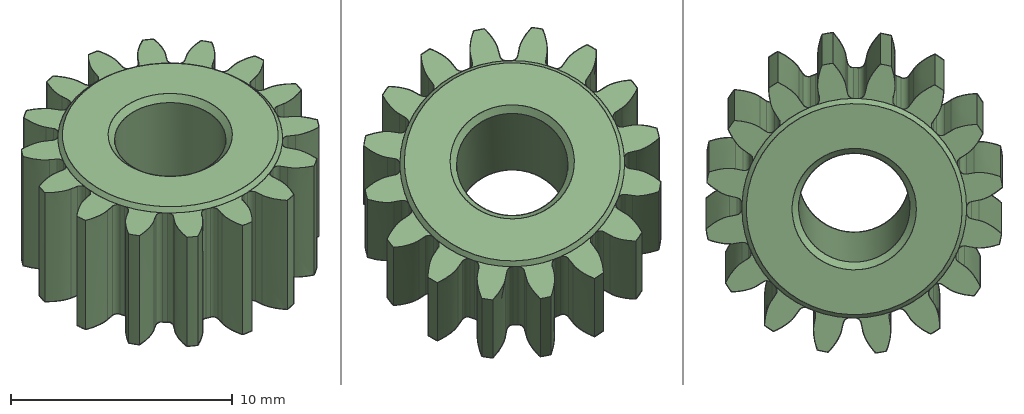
import cadquery as cq
import math

TEETH = 16
OVERALL_WIDTH = 13.33
FACE_WIDTH = 6.6
HUB_STEP = 0.2
BORE_RADIUS = 2.5
BORE_CHAMFER = 0.29
PRESSURE_ANGLE = math.radians(20)
ROOT_LAND_HALF_ANGLE = math.radians(1.25)
DEDENDUM_FACTOR = 1.25
ROOT_FILLET_FACTOR = 0.38
INVOLUTE_STEPS = 6


def polar(radius, angle):
    """Point as an X, Y pair."""
    return (radius * math.cos(angle), radius * math.sin(angle))


def involute(pressure_angle):
    """Involute function, in radians."""
    return math.tan(pressure_angle) - pressure_angle


TOOTH_PITCH = 2 * math.pi / TEETH
BASE_HALF_ANGLE = TOOTH_PITCH / 4 + involute(PRESSURE_ANGLE)
TIP_PRESSURE_ANGLE = math.acos(TEETH / (TEETH + 2) * math.cos(PRESSURE_ANGLE))
TIP_HALF_ANGLE = BASE_HALF_ANGLE - involute(TIP_PRESSURE_ANGLE)
TIP_RADIUS = OVERALL_WIDTH / 2 / math.cos(TOOTH_PITCH / 2 - TIP_HALF_ANGLE)
MODULE = 2 * TIP_RADIUS / (TEETH + 2)
PITCH_RADIUS = MODULE * TEETH / 2
BASE_RADIUS = PITCH_RADIUS * math.cos(PRESSURE_ANGLE)
ROOT_RADIUS = PITCH_RADIUS - DEDENDUM_FACTOR * MODULE
ROOT_FILLET = ROOT_FILLET_FACTOR * MODULE
LAND_ANGLE = TOOTH_PITCH / 2 - ROOT_LAND_HALF_ANGLE

HUB_RADIUS = ROOT_RADIUS
HUB_CHAMFER = HUB_STEP
OVERALL_HEIGHT = FACE_WIDTH + 2 * HUB_STEP


def half_tooth_angle(radius):
    """Angle from the tooth centreline to its involute flank at a radius."""
    local_pressure_angle = math.acos(BASE_RADIUS / radius)
    return BASE_HALF_ANGLE - involute(local_pressure_angle)


def flank_points():
    """Radius and half angle along the involute, from the base circle to the tip."""
    points = []
    for step in range(INVOLUTE_STEPS + 1):
        radius = BASE_RADIUS + (TIP_RADIUS - BASE_RADIUS) * (step / INVOLUTE_STEPS) ** 2
        points.append((radius, half_tooth_angle(radius)))
    return points


def root_fillet_points():
    """Middle and upper end of the root fillet, as radius and half angle.

    The fillet touches the root circle at the end of the root land, and a straight
    lower flank runs from the base circle tangent to it.
    """
    center_x, center_y = polar(ROOT_RADIUS + ROOT_FILLET, LAND_ANGLE)
    base_x, base_y = polar(BASE_RADIUS, BASE_HALF_ANGLE)
    to_base = math.atan2(base_y - center_y, base_x - center_x)
    distance = math.hypot(base_x - center_x, base_y - center_y)

    start = LAND_ANGLE - math.pi
    end = to_base - math.acos(ROOT_FILLET / distance)
    points = []
    for direction in ((start + end) / 2, end):
        x = center_x + ROOT_FILLET * math.cos(direction)
        y = center_y + ROOT_FILLET * math.sin(direction)
        points.append((math.hypot(x, y), math.atan2(y, x)))
    return points


def gear_body():
    """Toothed body with a tooth gap centred on +X."""
    half_profile = root_fillet_points() + flank_points()

    outline = cq.Workplane("XY", origin=(0, 0, -FACE_WIDTH / 2))
    outline = outline.moveTo(*polar(ROOT_RADIUS, ROOT_LAND_HALF_ANGLE))
    for tooth in range(TEETH):
        center = (tooth + 0.5) * TOOTH_PITCH
        rising_flank = [polar(radius, center - angle) for radius, angle in half_profile]
        falling_flank = [polar(radius, center + angle) for radius, angle in reversed(half_profile)]
        fillet_middle, fillet_top, base, *involute_points = rising_flank
        outline = (
            outline
            .threePointArc(fillet_middle, fillet_top)
            .lineTo(*base)
            .spline(involute_points, includeCurrent=True)
        )
        tip, *involute_points, fillet_top, fillet_middle = falling_flank
        outline = (
            outline
            .threePointArc(polar(TIP_RADIUS, center), tip)
            .spline(involute_points, includeCurrent=True)
            .lineTo(*fillet_top)
            .threePointArc(fillet_middle, polar(ROOT_RADIUS, center + LAND_ANGLE))
            .threePointArc(
                polar(ROOT_RADIUS, center + TOOTH_PITCH / 2),
                polar(ROOT_RADIUS, center + TOOTH_PITCH - LAND_ANGLE),
            )
        )
    return outline.close().extrude(FACE_WIDTH)


def hub():
    """Round core that stands proud of both toothed faces, with chamfered rims."""
    return (
        cq.Workplane("XY", origin=(0, 0, -OVERALL_HEIGHT / 2))
        .circle(HUB_RADIUS)
        .extrude(OVERALL_HEIGHT)
        .faces("<Z or >Z")
        .chamfer(HUB_CHAMFER)
    )


def bore():
    """Cutter for the through bore, flared at both ends by the chamfers."""
    half_height = OVERALL_HEIGHT / 2
    mouth_radius = BORE_RADIUS + BORE_CHAMFER
    return (
        cq.Workplane("XZ")
        .moveTo(0, -half_height)
        .lineTo(mouth_radius, -half_height)
        .lineTo(BORE_RADIUS, -half_height + BORE_CHAMFER)
        .lineTo(BORE_RADIUS, half_height - BORE_CHAMFER)
        .lineTo(mouth_radius, half_height)
        .lineTo(0, half_height)
        .close()
        .revolve(360, (0, 0, 0), (0, 1, 0))
    )


result = gear_body().union(hub()).cut(bore())